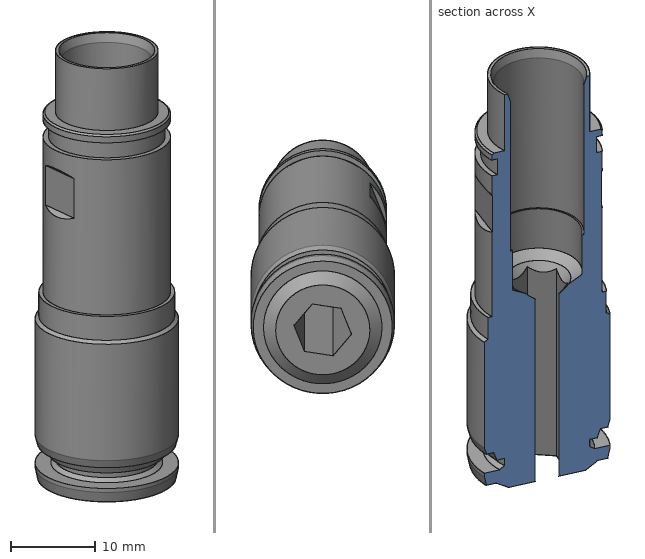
import cadquery as cq
import math

total_height = 55.25
body_radius = 8.5
taper_radius = 8.25

foot_radius = 5.6
foot_cone_radius = 7.0
foot_cone_top = 1.0
flange_taper_top = 2.3
flange_top = 2.8

neck_radius = 6.1
neck_flare_radius = 6.65
neck_bottom = 3.25
neck_top = 4.2
neck_cone_bottom_radius = 6.95
neck_cone_top_radius = 7.35

body_bottom = 5.35
body_taper_top = 6.35
body_chamfer_bottom = 21.15
body_top = 21.5
shoulder_radius = 8.05
shoulder_top = 24.55

barrel_radius = 7.55
groove_radius = 6.9
groove_bottom = 44.25
groove_top = 46.4
collar_top = 47.4
collar_chamfer = 0.2
tube_radius = 6.1

mouth_radius = 5.7
mouth_depth = 1.1
bore_radius = 5.35
bore_bottom = 33.15
inner_bore_radius = 5.15
inner_bore_bottom = 27.6
seat_radius = 3.8
seat_cone_height = 0.9
hex_across_flats = 5.95
socket_cone_height = 1.1

flat_width = 5.5
flat_bottom = 36.4
flat_top = 41.45


def revolve_profile(points):
    return cq.Workplane("XZ").polyline(points).close().revolve(360, (0, 0, 0), (0, 1, 0))


def make_outer_body():
    return revolve_profile([
        (0, 0),
        (foot_radius, 0),
        (foot_cone_radius, foot_cone_top),
        (taper_radius, foot_cone_top),
        (body_radius, flange_taper_top),
        (body_radius, flange_top),
        (neck_flare_radius, flange_top),
        (neck_radius, neck_bottom),
        (neck_radius, neck_top),
        (neck_cone_bottom_radius, neck_top),
        (neck_cone_top_radius, body_bottom),
        (taper_radius, body_bottom),
        (body_radius, body_taper_top),
        (body_radius, body_chamfer_bottom),
        (shoulder_radius, body_top),
        (shoulder_radius, shoulder_top),
        (barrel_radius, shoulder_top),
        (barrel_radius, groove_bottom),
        (groove_radius, groove_bottom),
        (groove_radius, groove_top),
        (barrel_radius, groove_top),
        (barrel_radius, collar_top - collar_chamfer),
        (barrel_radius - collar_chamfer, collar_top),
        (tube_radius, collar_top),
        (tube_radius, total_height),
        (0, total_height),
    ])


def make_bore():
    seat_bottom = inner_bore_bottom - seat_cone_height
    socket_cone_bottom = seat_bottom - socket_cone_height
    return revolve_profile([
        (0, socket_cone_bottom),
        (hex_across_flats / 2, socket_cone_bottom),
        (seat_radius, seat_bottom),
        (inner_bore_radius, inner_bore_bottom),
        (inner_bore_radius, bore_bottom),
        (bore_radius, bore_bottom),
        (bore_radius, total_height - mouth_depth),
        (mouth_radius, total_height),
        (0, total_height),
    ])


def make_hex_socket():
    hex_across_corners = hex_across_flats / math.cos(math.pi / 6)
    return cq.Workplane("XY").polygon(6, hex_across_corners).extrude(inner_bore_bottom)


def make_flat_cutter(side):
    """Trapezoid with 45-degree ends that mills one flat; side is +1 or -1 along Y."""
    flat_distance = math.sqrt(barrel_radius**2 - (flat_width / 2) ** 2)
    flat_depth = barrel_radius - flat_distance
    profile = [
        (side * flat_distance, flat_bottom),
        (side * barrel_radius, flat_bottom - flat_depth),
        (side * barrel_radius, flat_top + flat_depth),
        (side * flat_distance, flat_top),
    ]
    return cq.Workplane("YZ").polyline(profile).close().extrude(flat_width / 2, both=True)


result = make_outer_body().cut(make_bore()).cut(make_hex_socket())
for side in (-1, 1):
    result = result.cut(make_flat_cutter(side))